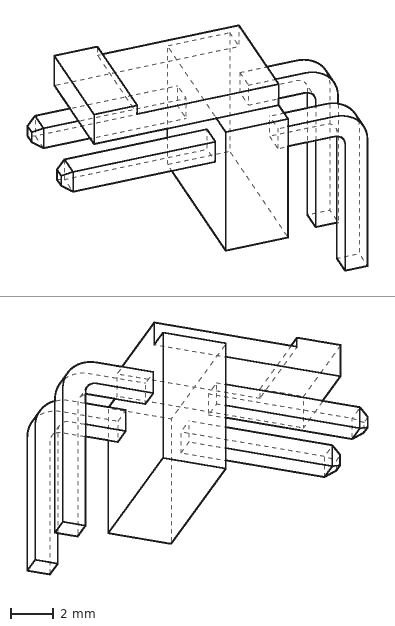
import cadquery as cq


body_width = 7.86
body_depth = 3.17
body_height = 6.8

tab_width = 5.35
tab_thickness = 1.2
tab_overhang = 6.22
lip_length = 2.2
lip_top = 1.7

pin_pitch = 3.96
pin_size = 1.15
pin_axis_height = 4.81
pin_reach = 7.74
pin_tail_drop = 3.59
bend_outer_radius = 1.7
bend_inner_radius = bend_outer_radius - pin_size
tip_length = 0.5
tip_size = 0.57


def make_body():
    return cq.Workplane("XY").box(
        body_width, body_depth, body_height, centered=(True, False, False)
    )


def make_tab():
    lip_back = lip_length - tab_overhang
    profile = (
        cq.Workplane("YZ")
        .moveTo(body_depth, body_height)
        .lineTo(-tab_overhang, body_height)
        .lineTo(-tab_overhang, body_height + lip_top)
        .lineTo(lip_back, body_height + lip_top)
        .lineTo(lip_back, body_height + tab_thickness)
        .lineTo(body_depth, body_height + tab_thickness)
        .close()
    )
    return profile.extrude(tab_width / 2, both=True)


def make_pin(x):
    shank_front = tip_length - pin_reach
    pin_top = pin_axis_height + pin_size / 2
    bar = (
        cq.Workplane("YZ")
        .moveTo(shank_front, pin_top)
        .lineTo(pin_reach, pin_top)
        .lineTo(pin_reach, -pin_tail_drop)
        .lineTo(pin_reach - pin_size, -pin_tail_drop)
        .lineTo(pin_reach - pin_size, pin_top - pin_size)
        .lineTo(shank_front, pin_top - pin_size)
        .close()
        .extrude(pin_size / 2, both=True)
    )
    outer_corner = cq.selectors.NearestToPointSelector((0, pin_reach, pin_top))
    bar = bar.edges("|X").edges(outer_corner).fillet(bend_outer_radius)
    inner_corner = cq.selectors.NearestToPointSelector(
        (0, pin_reach - pin_size, pin_top - pin_size)
    )
    bar = bar.edges("|X").edges(inner_corner).fillet(bend_inner_radius)

    tip = (
        cq.Workplane("XZ", origin=(0, shank_front, pin_axis_height))
        .rect(pin_size, pin_size)
        .workplane(offset=tip_length)
        .rect(tip_size, tip_size)
        .loft()
    )
    return bar.union(tip).translate((x, 0, 0))


result = make_body().union(make_tab())
for side in (-1, 1):
    result = result.union(make_pin(side * pin_pitch / 2))